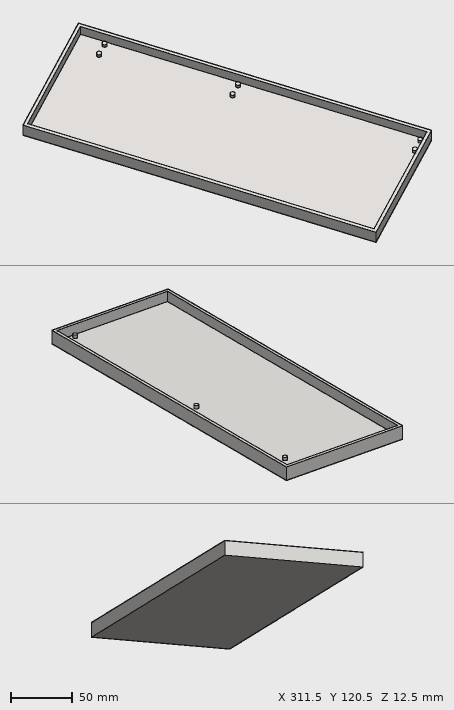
import cadquery as cq

length = 311.5
width = 120.5
height = 12.5
wall = 3.0
floor = wall

pin_diameter = 4.0
pin_height = 3.0
pin_distances_from_left = (26.0, 143.5, 304.2)
pin_distance_from_back = 7.0
pin_pair_spacing = 11.8


def make_tray():
    """Rectangular tray, open at the top, with walls of equal thickness."""
    body = cq.Workplane("XY").box(length, width, height, centered=(True, True, False))
    cavity = (
        cq.Workplane("XY")
        .workplane(offset=floor)
        .rect(length - 2 * wall, width - 2 * wall)
        .extrude(height - floor)
    )
    return body.cut(cavity)


def make_pins():
    """Pins rooted in the underside so that they fuse with the floor."""
    back_row_y = width / 2 - pin_distance_from_back
    centres = [
        (distance - length / 2, y)
        for distance in pin_distances_from_left
        for y in (back_row_y, back_row_y - pin_pair_spacing)
    ]
    return (
        cq.Workplane("XY")
        .pushPoints(centres)
        .circle(pin_diameter / 2)
        .extrude(floor + pin_height)
    )


result = make_tray().union(make_pins())